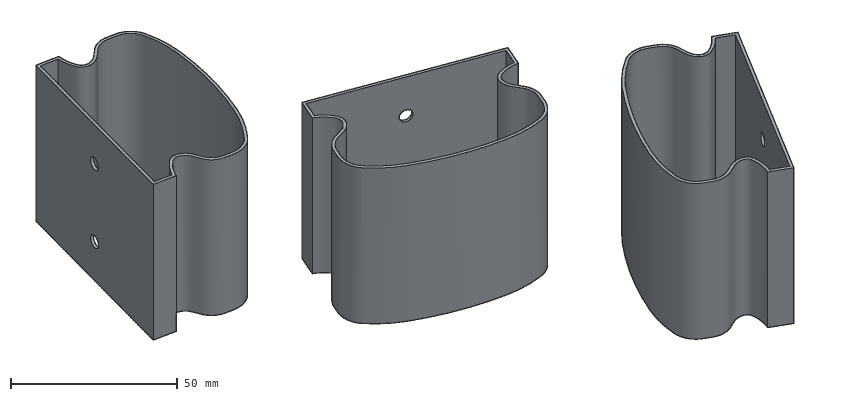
import cadquery as cq

width = 67.85
depth = 41.6
height = 60.0
wall = 1.0

base_half_width = 33.65
base_depth = 8.15

crown = (0, depth)
crown_end = (16.3, 40.35)
shoulder = (29.2, 36.1)
side_top = (width / 2, 28.35)
side_bottom = (width / 2, 25.25)
neck_top = (31.2, 19.3)
neck_bottom = (28.1, 16.95)
waist = (26.1, 13.85)
waist_end = (27.2, 10.9)
base_corner = (base_half_width, base_depth)

crown_drop = crown[1] - crown_end[1]
crown_radius = (crown_end[0] ** 2 + crown_drop**2) / (2 * crown_drop)

hole_diameter = 4.5
hole_spacing = height / 2


def outer_profile():
    """Closed outline: straight-sided base topped by a waisted, domed curve."""
    return (
        cq.Workplane("XY")
        .moveTo(*crown)
        .radiusArc(crown_end, crown_radius)
        .tangentArcPoint(shoulder, relative=False)
        .tangentArcPoint(side_top, relative=False)
        .lineTo(*side_bottom)
        .tangentArcPoint(neck_top, relative=False)
        .lineTo(*neck_bottom)
        .tangentArcPoint(waist, relative=False)
        .tangentArcPoint(waist_end, relative=False)
        .tangentArcPoint(base_corner, relative=False)
        .lineTo(base_half_width, 0)
        .lineTo(0, 0)
        .mirrorY()
    )


outer = outer_profile().extrude(height)
cavity = outer_profile().offset2D(-wall, "intersection").extrude(height)
tube = outer.cut(cavity)

hole_cutters = (
    cq.Workplane("XZ")
    .center(0, height / 2)
    .rarray(0.7, hole_spacing, 1, 2)
    .circle(hole_diameter / 2)
    .extrude(-base_depth)
)

result = tube.cut(hole_cutters)